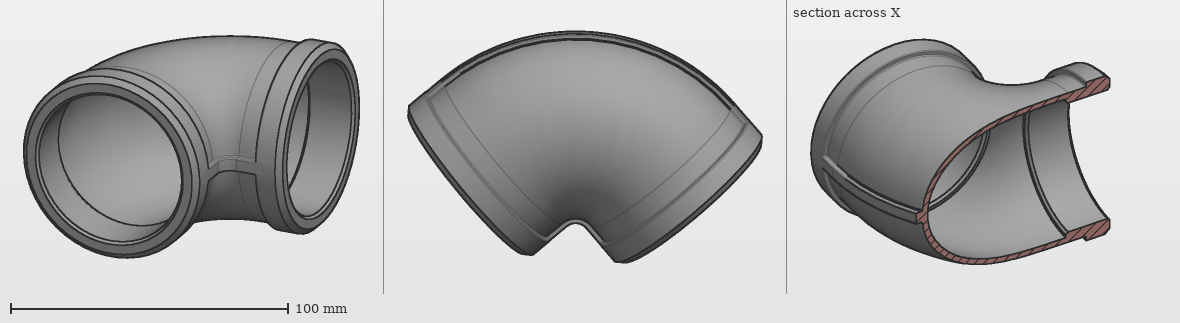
import cadquery as cq

leg_length = 57.5
bend_angle = 90.0
bend_radius = 40.0
straight_length = leg_length - bend_radius
body_diameter = 66.0

collar_diameter = 70.0
collar_length = 10.0
collar_chamfer = 2.1

rib_width = 5.0
edge_fillet = 0.4

bore_diameter = 56.66
bore_chamfer = 1.0
bore_chamfer_angle = 45.0

passage_diameter = 61.0
passage_bend_radius = 39.0
bore_length = leg_length - passage_bend_radius


leg_directions = [(1, 0, 0), (0, -1, 0)]


def leg_end_plane(direction):
    """Workplane on the end face of a leg, with its normal pointing out of the elbow."""
    end_centre = tuple(leg_length * component for component in direction)
    return cq.Workplane(cq.Plane(origin=end_centre, xDir=(0, 0, 1), normal=direction))


def leg_bar(direction, diameter, length):
    """Round bar on a leg axis, reaching inward from the end of the leg."""
    return leg_end_plane(direction).circle(diameter / 2).extrude(-length)


def bend_bar(diameter, centreline_radius):
    """Round quarter bend that meets both leg axes square, for a given bend radius."""
    bend_start = cq.Workplane("XZ", origin=(0, -centreline_radius, 0)).circle(diameter / 2)
    return bend_start.revolve(bend_angle, (centreline_radius, 0, 0), (centreline_radius, -1, 0))


def elbow_bar(diameter):
    """Solid round bar along the whole elbow: a quarter bend and two straight legs."""
    bar = bend_bar(diameter, bend_radius)
    for direction in leg_directions:
        bar = bar.union(leg_bar(direction, diameter, straight_length))
    return bar


def bore_cutter(direction):
    """Bore of one leg, flared by a chamfer at its mouth and at its inner end."""
    flare_radius = bore_diameter / 2 + bore_chamfer
    mouth_flare = leg_end_plane(direction).circle(flare_radius).extrude(-bore_chamfer, taper=bore_chamfer_angle)
    inner_flare = (
        leg_end_plane(direction)
        .workplane(offset=-bore_length)
        .circle(flare_radius)
        .extrude(bore_chamfer, taper=bore_chamfer_angle)
    )
    return leg_bar(direction, bore_diameter, bore_length).union(mouth_flare).union(inner_flare)


def raised_bar():
    """Collars on both legs, joined by the ribs along the inside and outside of the bend."""
    slab_side = 4 * leg_length
    rib_slab = cq.Workplane("XY").box(slab_side, slab_side, rib_width)
    bar = elbow_bar(collar_diameter).intersect(rib_slab)
    for direction in leg_directions:
        bar = bar.union(leg_bar(direction, collar_diameter, collar_length))
    return bar


def rounded_edges(blank):
    """Blank with the crown and root edges of the ribs and collar shoulders filleted."""
    step_faces = blank.faces("%PLANE").faces("not (>X or <Y)")
    return blank.newObject(step_faces.edges().vals()).fillet(edge_fillet)


outer_shape = rounded_edges(elbow_bar(body_diameter).union(raised_bar()))
outer_shape = outer_shape.faces(">X or <Y").edges().chamfer(collar_chamfer)

result = outer_shape.cut(bend_bar(passage_diameter, passage_bend_radius))
for leg_direction in leg_directions:
    result = result.cut(bore_cutter(leg_direction))